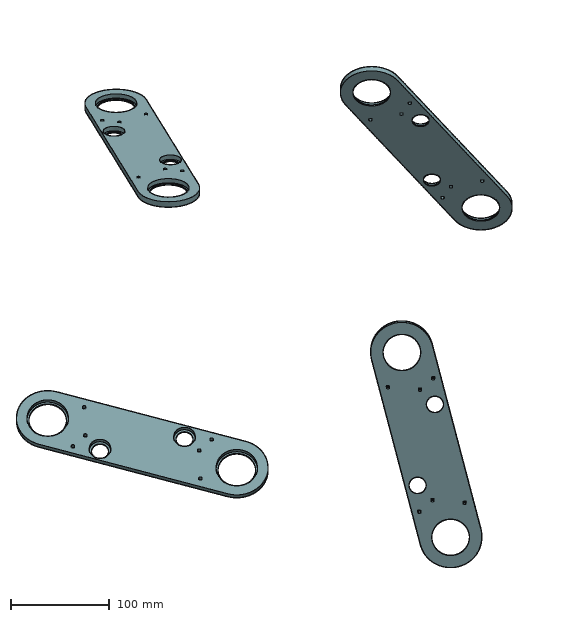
import cadquery as cq

length = 263.5
width = 63.5
thickness = 6.3
end_offset = (length - width) / 2

end_bore_diameter = 38.0
end_seat_diameter = 42.0
end_seat_depth = 4.7

inner_bore_diameter = 17.0
inner_seat_diameter = 22.0
inner_seat_depth = 5.0
inner_hole_x = 39.0
inner_hole_y = 19.0

screw_diameter = 3.5
screw_positions = [(66.1, 24.0), (57.7, 8.2), (68.2, -22.7)]


def with_opposites(points):
    """Add to each point its mirror through the plate centre."""
    return points + [(-x, -y) for x, y in points]


def cut_stepped_holes(body, points, bore, seat, seat_depth):
    """Cut through bores with a wider seat sunk from the top face."""
    top = body.faces(">Z").workplane(origin=(0, 0, 0))
    return top.pushPoints(points).cboreHole(bore, seat, seat_depth)


plate = cq.Workplane("XY").slot2D(length, width).extrude(thickness)

plate = cut_stepped_holes(
    plate,
    with_opposites([(end_offset, 0)]),
    end_bore_diameter,
    end_seat_diameter,
    end_seat_depth,
)
plate = cut_stepped_holes(
    plate,
    with_opposites([(inner_hole_x, inner_hole_y)]),
    inner_bore_diameter,
    inner_seat_diameter,
    inner_seat_depth,
)

result = (
    plate.faces(">Z")
    .workplane(origin=(0, 0, 0))
    .pushPoints(with_opposites(screw_positions))
    .hole(screw_diameter)
)